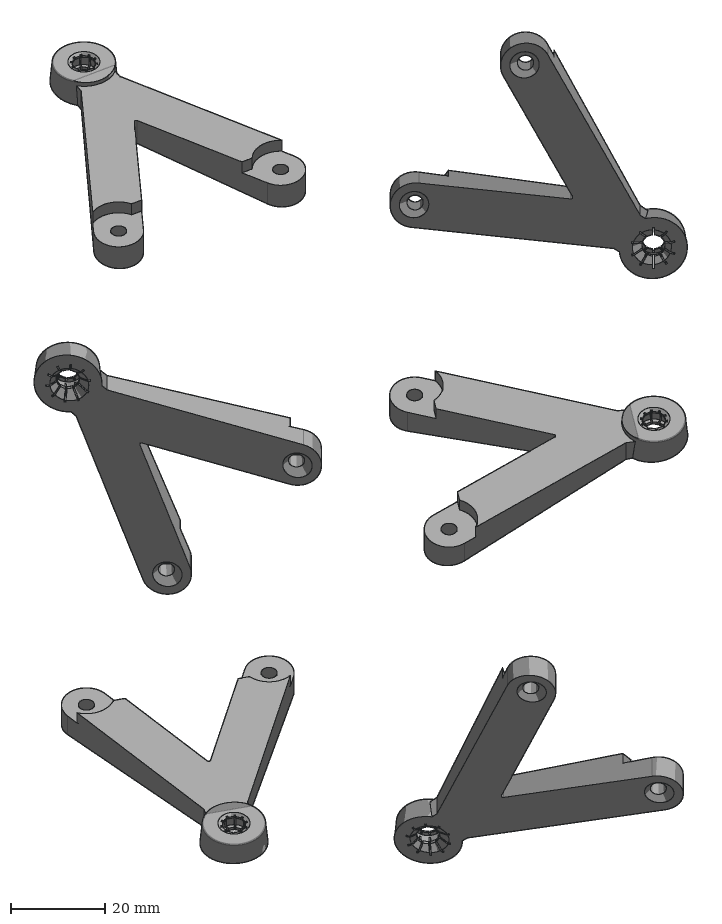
import cadquery as cq
import math

total_height = 10.14
hub_to_lug_x = 47.87
lug_spacing = 40.0
lug_radius = 5.3
lug_hole_diameter = 3.4

arm_top_drop = 1.1
lug_top_drop = 3.0
arm_angle = 27.35
arm_width = 2 * lug_radius
crotch_fillet = 0.4

neck_half_width = 4.78
neck_start_x = 4.5
underside_angle = 4.85

hub_top_radius = 6.75
hub_taper = 5.0
hub_rim_fillet = 0.2
hub_facet_start_x = 4.27
hub_facet_angle = underside_angle

lug_relief_radius = 6.05
lug_relief_start_x = 44.65

bore_radius = 2.45
bore_notches = 10
notch_top_radius = 2.75
notch_bottom_radius = 4.85
notch_width = 0.35
lead_in_radius = 3.4
lead_in_depth = 0.35
chamber_radius = 3.3
chamber_top_drop = 0.8
chamber_bottom_drop = 3.5
hub_mouth_radius = 4.1
hub_mouth_top_drop = 4.2

lug_sink_radius = 3.1
lug_sink_half_angle = 45.0

bottom_z = -total_height
arm_top_z = -arm_top_drop
lug_top_z = arm_top_z - lug_top_drop
lug_y = lug_spacing / 2
tip_x = hub_to_lug_x + lug_radius
arm_slope = math.tan(math.radians(arm_angle))
edge_offset_y = arm_width / 2 / math.cos(math.radians(arm_angle))
crotch_x = hub_to_lug_x - (lug_y - edge_offset_y) / arm_slope
neck_end_x = hub_to_lug_x - (lug_y + edge_offset_y - neck_half_width) / arm_slope
lug_side_dx = arm_width / 2 * math.sin(math.radians(arm_angle))
lug_side_dy = arm_width / 2 * math.cos(math.radians(arm_angle))
underside_slope = math.tan(math.radians(underside_angle))
hub_underside_z = bottom_z + tip_x * underside_slope
lug_underside_z = bottom_z + lug_radius * underside_slope
margin = 5.0


def solid_between(sketch_points, z_low, z_high):
    """Straight prism on a closed polygon between two heights."""
    return (
        cq.Workplane("XY").workplane(offset=z_low)
        .polyline(sketch_points).close().extrude(z_high - z_low)
    )


def cylinder(x, y, radius, z_low, z_high):
    return (
        cq.Workplane("XY").workplane(offset=z_low)
        .center(x, y).circle(radius).extrude(z_high - z_low)
    )


def make_arms():
    """Neck and the two diverging arms, at full arm height."""
    upper_half = [
        (neck_start_x, neck_half_width),
        (neck_end_x, neck_half_width),
        (hub_to_lug_x - lug_side_dx, lug_y + lug_side_dy),
        (hub_to_lug_x + lug_side_dx, lug_y - lug_side_dy),
    ]
    lower_half = [(x, -y) for x, y in reversed(upper_half)]
    outline = upper_half + [(crotch_x, 0)] + lower_half
    arms = solid_between(outline, bottom_z, arm_top_z)
    crotch_edge = cq.selectors.NearestToPointSelector((crotch_x, 0, (bottom_z + arm_top_z) / 2))
    return arms.edges("|Z").edges(crotch_edge).fillet(crotch_fillet)


def make_lug_relief(side):
    """Material removed above one lug so that its top sits below the arm."""
    start_y = lug_y - lug_relief_radius - margin
    end_y = lug_y + lug_relief_radius + margin
    block = solid_between(
        [
            (lug_relief_start_x, side * start_y),
            (tip_x + margin, side * start_y),
            (tip_x + margin, side * end_y),
            (lug_relief_start_x, side * end_y),
        ],
        lug_top_z, margin,
    )
    return block.union(cylinder(hub_to_lug_x, side * lug_y, lug_relief_radius, lug_top_z, margin))


def make_lug_countersink(side):
    """Conical screw head seat, square to the lug axis, opening through the underside."""
    hole_radius = lug_hole_diameter / 2
    flare = math.tan(math.radians(lug_sink_half_angle))
    sink_depth = (lug_sink_radius - hole_radius) / flare
    mouth_radius = lug_sink_radius + (lug_underside_z - bottom_z) * flare
    profile = [
        (0, lug_underside_z + sink_depth),
        (hole_radius, lug_underside_z + sink_depth),
        (mouth_radius, bottom_z),
        (0, bottom_z),
    ]
    sink = cq.Workplane("XZ").polyline(profile).close().revolve(360, (0, 0, 0), (0, 1, 0))
    return sink.translate((hub_to_lug_x, side * lug_y, 0))


def make_hub():
    """Tapered round hub with a rounded rim and a sloping facet on the arm side."""
    bottom_radius = hub_top_radius + total_height * math.tan(math.radians(hub_taper))
    hub = (
        cq.Workplane("XZ")
        .polyline([(0, 0), (hub_top_radius, 0), (bottom_radius, bottom_z), (0, bottom_z)]).close()
        .revolve(360, (0, 0, 0), (0, 1, 0))
    )
    hub = hub.edges(">Z").fillet(hub_rim_fillet)
    facet_end_x = hub_top_radius + margin
    facet_drop = (facet_end_x - hub_facet_start_x) * math.tan(math.radians(hub_facet_angle))
    facet = (
        cq.Workplane("XZ")
        .polyline([(hub_facet_start_x, 0), (facet_end_x, 0), (facet_end_x, -facet_drop)]).close()
        .extrude(hub_top_radius + margin, both=True)
    )
    return hub.cut(facet)


def make_hub_bore():
    """Notched through bore with a conical lead-in, an internal chamber and a conical mouth below."""
    flare = (hub_mouth_radius - bore_radius) / (-hub_mouth_top_drop - hub_underside_z)
    mouth_radius = hub_mouth_radius + (hub_underside_z - bottom_z) * flare
    bore = (
        cq.Workplane("XZ")
        .polyline([
            (0, 0),
            (lead_in_radius, 0),
            (bore_radius, -lead_in_depth),
            (bore_radius, -chamber_top_drop),
            (chamber_radius, -chamber_top_drop),
            (chamber_radius, -chamber_bottom_drop),
            (bore_radius, -chamber_bottom_drop),
            (bore_radius, -hub_mouth_top_drop),
            (mouth_radius, bottom_z),
            (0, bottom_z),
        ])
        .close()
        .revolve(360, (0, 0, 0), (0, 1, 0))
    )
    notch_pitch = 360 / bore_notches
    notch = (
        cq.Workplane("XZ")
        .polyline([
            (0, 0),
            (notch_top_radius, 0),
            (notch_bottom_radius, hub_underside_z),
            (notch_bottom_radius, bottom_z),
            (0, bottom_z),
        ])
        .close()
        .extrude(notch_width / 2, both=True)
    )
    for index in range(bore_notches):
        angle = (index + 0.5) * notch_pitch
        bore = bore.union(notch.rotate((0, 0, 0), (0, 0, 1), angle))
    return bore


def make_underside_cut():
    """Wedge below the sloping underside, which reaches its lowest point at the lug tips."""
    hub_side_x = -(hub_top_radius + margin)
    hub_side_z = bottom_z + (tip_x - hub_side_x) * underside_slope
    return (
        cq.Workplane("XZ")
        .polyline([(tip_x, bottom_z), (hub_side_x, hub_side_z), (hub_side_x, bottom_z)]).close()
        .extrude(lug_y + lug_radius + margin, both=True)
    )


result = make_arms()
for side in (1, -1):
    result = result.cut(make_lug_relief(side))
    result = result.union(cylinder(hub_to_lug_x, side * lug_y, lug_radius, bottom_z, lug_top_z))
    result = result.cut(cylinder(hub_to_lug_x, side * lug_y, lug_hole_diameter / 2, bottom_z, lug_top_z))
    result = result.cut(make_lug_countersink(side))
result = result.union(make_hub())
result = result.cut(make_hub_bore())
result = result.cut(make_underside_cut())